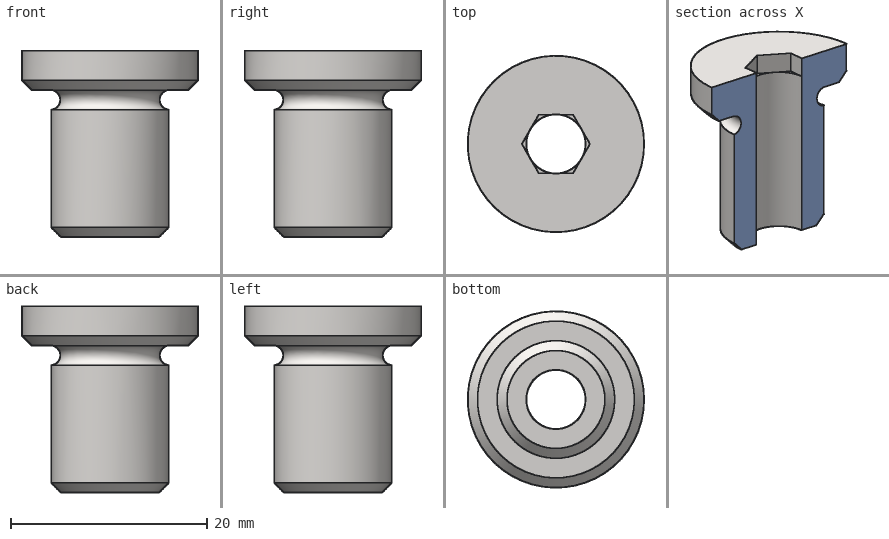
import cadquery as cq

total_length = 19.0
head_diameter = 18.0
shank_diameter = 11.99
bore_diameter = 6.0
chamfer = 1.0

head_height = 4.0
groove_width = 2.0
groove_depth = 0.91

socket_across_flats = bore_diameter
socket_depth = 2.0

head_radius = head_diameter / 2
shank_radius = shank_diameter / 2
head_bottom = total_length - head_height
groove_bottom = head_bottom - groove_width
groove_middle = head_bottom - groove_width / 2


def make_body():
    """Revolve the half outline of the head, groove and shank about Z."""
    return (
        cq.Workplane("XZ")
        .moveTo(0, 0)
        .lineTo(shank_radius - chamfer, 0)
        .lineTo(shank_radius, chamfer)
        .lineTo(shank_radius, groove_bottom)
        .threePointArc(
            (shank_radius - groove_depth, groove_middle),
            (shank_radius, head_bottom),
        )
        .lineTo(head_radius - chamfer, head_bottom)
        .lineTo(head_radius, head_bottom + chamfer)
        .lineTo(head_radius, total_length)
        .lineTo(0, total_length)
        .close()
        .revolve(360, (0, 0, 0), (0, 1, 0))
    )


def make_bore():
    """Round hole along the whole length."""
    return cq.Workplane("XY").circle(bore_diameter / 2).extrude(total_length)


def make_socket():
    """Hexagon with two corners in the XZ plane, sunk from the top face."""
    return (
        cq.Workplane("XY")
        .workplane(offset=total_length - socket_depth)
        .transformed(rotate=(0, 0, 30))
        .polygon(6, socket_across_flats, circumscribed=True)
        .extrude(socket_depth)
    )


result = make_body().cut(make_bore()).cut(make_socket())